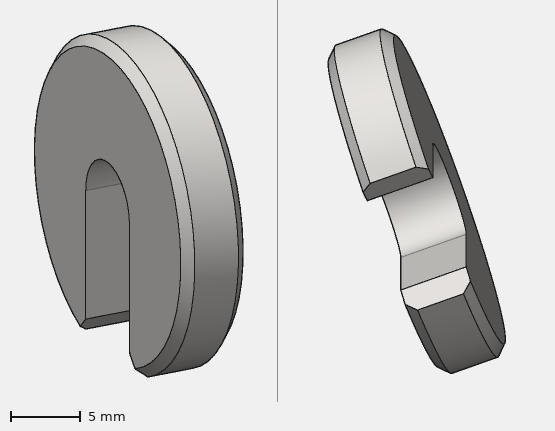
import cadquery as cq

outer_radius = 12.5
thickness = 5.0
rim_chamfer = 0.75

slot_width = 7.0
slot_radius = slot_width / 2
flare_start_depth = 10.0


def chamfered_disc():
    disc = cq.Workplane("XZ").circle(outer_radius).extrude(thickness / 2, both=True)
    return disc.faces("<Y or >Y").chamfer(rim_chamfer)


def flared_slot():
    flare_depth = outer_radius - flare_start_depth
    mouth_half_width = slot_radius + flare_depth
    return (
        cq.Workplane("XZ")
        .moveTo(-slot_radius, 0)
        .threePointArc((0, slot_radius), (slot_radius, 0))
        .lineTo(slot_radius, -flare_start_depth)
        .lineTo(mouth_half_width, -outer_radius)
        .lineTo(-mouth_half_width, -outer_radius)
        .lineTo(-slot_radius, -flare_start_depth)
        .close()
        .extrude(thickness, both=True)
    )


result = chamfered_disc().cut(flared_slot())